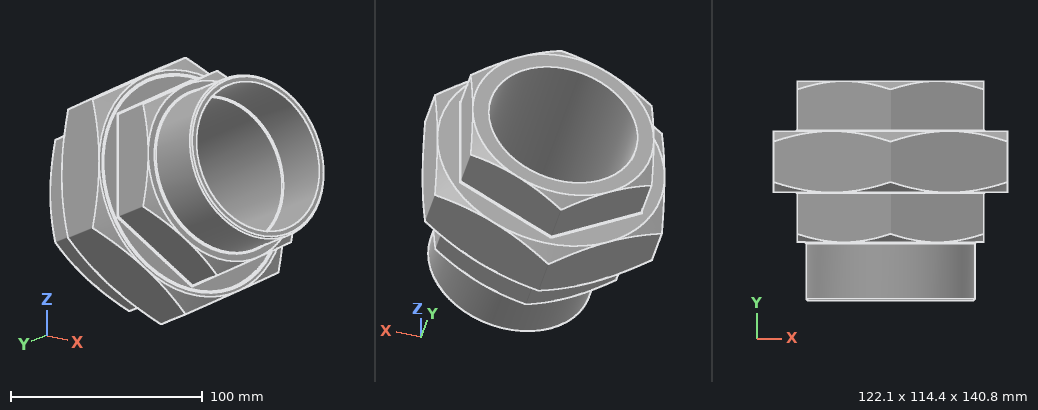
import cadquery as cq
import math

back_hex_length = 26.0
nut_length = 32.0
front_hex_length = 25.9
spigot_length = 30.5
total_length = back_hex_length + nut_length + front_hex_length + spigot_length

spigot_end = -total_length / 2
front_hex_face = spigot_end + spigot_length
nut_front = front_hex_face + front_hex_length
nut_back = nut_front + nut_length
back_end = nut_back + back_hex_length

nut_across_corners = 140.8
body_across_flats = 97.3
corner_round = 0.5
hex_half_angle = math.radians(30)
sharp_corner_excess = corner_round * (1 / math.cos(hex_half_angle) - 1)
nut_across_flats = (nut_across_corners + 2 * sharp_corner_excess) * math.cos(hex_half_angle)
chamfer_slope = math.tan(math.radians(30))

hex_flare = 0.5

spigot_diameter = 88.1
tip_chamfer = 1.0
root_flare_length = 0.7
root_flare_height = 0.5

bore_diameter = 80.0
spigot_bore_diameter = 80.7
bore_taper_length = 1.0

groove_inner_diameter = 116.0
groove_outer_diameter = 117.4
groove_mouth_diameter = 118.0
groove_depth = 1.4


def revolved(profile):
    """Solid of revolution about Y from (radius, station) points."""
    return cq.Workplane("XY").polyline(profile).close().revolve(360, (0, 0, 0), (0, 1, 0))


def hex_outline(across_flats, station):
    """Hexagon with corners toward +Z and -Z, on a plane whose normal is -Y."""
    across_corners = across_flats / math.cos(hex_half_angle)
    plane = cq.Workplane("XZ", origin=(0, station, 0)).transformed(rotate=(0, 0, 90))
    return plane.polygon(6, across_corners)


def hexagon(across_flats, start, end, chamfer_start, chamfer_end):
    """Rounded hexagonal prism, its corners turned to a cone at the chosen ends."""
    prism = hex_outline(across_flats, end).extrude(end - start).edges("|Y").fillet(corner_round)

    flat_radius = across_flats / 2
    corner_radius = flat_radius / math.cos(hex_half_angle)
    chamfer_length = (corner_radius - flat_radius) * chamfer_slope
    envelope = revolved([
        (0, start),
        (flat_radius if chamfer_start else corner_radius, start),
        (corner_radius, start + chamfer_length),
        (corner_radius, end - chamfer_length),
        (flat_radius if chamfer_end else corner_radius, end),
        (0, end),
    ])
    return prism.intersect(envelope)


def flared_foot(across_flats, station, direction):
    """Foot of a body hexagon, widening toward the nut face at the given station."""
    foot = hex_outline(across_flats + 2 * hex_flare, station)
    across_corners = across_flats / math.cos(hex_half_angle)
    foot = foot.workplane(offset=-direction * hex_flare).polygon(6, across_corners)
    return foot.loft(ruled=True).edges("not #Y").fillet(corner_round)


nut = hexagon(nut_across_flats, nut_front, nut_back, True, True)
front_hex = hexagon(body_across_flats, front_hex_face, nut_front, True, False)
back_hex = hexagon(body_across_flats, nut_back, back_end, False, True)
front_foot = flared_foot(body_across_flats, nut_front, -1)
back_foot = flared_foot(body_across_flats, nut_back, 1)

lip_chamfer = (groove_mouth_diameter - groove_outer_diameter) / 2
groove = revolved([
    (groove_inner_diameter / 2, nut_front),
    (groove_mouth_diameter / 2, nut_front),
    (groove_outer_diameter / 2, nut_front + lip_chamfer),
    (groove_outer_diameter / 2, nut_front + groove_depth),
    (groove_inner_diameter / 2, nut_front + groove_depth),
])

spigot_radius = spigot_diameter / 2
spigot = revolved([
    (0, spigot_end),
    (spigot_radius - tip_chamfer, spigot_end),
    (spigot_radius, spigot_end + tip_chamfer),
    (spigot_radius, front_hex_face - root_flare_length),
    (spigot_radius + root_flare_height, front_hex_face),
    (0, front_hex_face),
])

bore = revolved([
    (0, spigot_end),
    (spigot_bore_diameter / 2, spigot_end),
    (spigot_bore_diameter / 2, front_hex_face),
    (bore_diameter / 2, front_hex_face + bore_taper_length),
    (bore_diameter / 2, back_end),
    (0, back_end),
])

result = (
    nut.cut(groove)
    .union(front_hex)
    .union(back_hex)
    .union(front_foot)
    .union(back_foot)
    .union(spigot)
    .cut(bore)
)